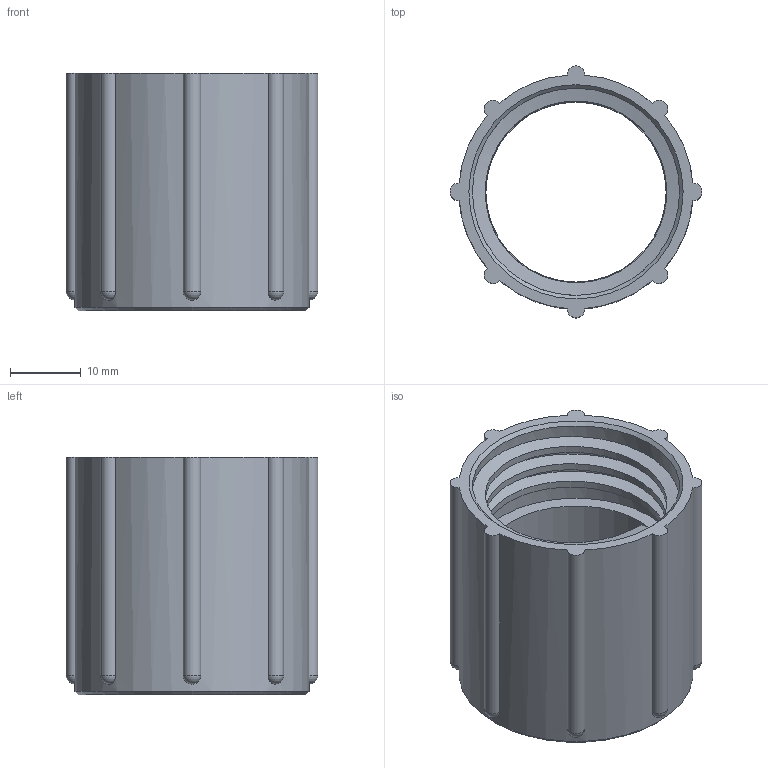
import cadquery as cq

height = 33.5
outer_diameter = 33.0
edge_chamfer = 0.5

passage_diameter = 25.4
socket_diameter = 29.2
socket_depth = 13.0

rib_count = 8
rib_diameter = 2.5
rib_round_center_z = 2.75

thread_pitch = 3.0
thread_turns = 3
thread_crest_diameter = 25.6
thread_crest_width = 1.04
thread_flank_rise = 0.42
thread_start_angle = -90.0
wall_overlap = 0.3

outer_radius = outer_diameter / 2
passage_radius = passage_diameter / 2
socket_radius = socket_diameter / 2
rib_radius = rib_diameter / 2
socket_floor_z = height - socket_depth


def make_sleeve():
    """Outer cylinder with its stepped bore and chamfered outer foot and socket mouth."""
    profile = [
        (passage_radius, 0),
        (outer_radius - edge_chamfer, 0),
        (outer_radius, edge_chamfer),
        (outer_radius, height),
        (socket_radius + edge_chamfer, height),
        (socket_radius, height - edge_chamfer),
        (socket_radius, socket_floor_z),
        (passage_radius, socket_floor_z),
    ]
    return cq.Workplane("XZ").polyline(profile).close().revolve(360, (0, 0, 0), (0, 1, 0))


def make_ribs():
    """Ribs spaced evenly round the outside, trimmed clear of the bore."""
    bar = (
        cq.Workplane("XY", origin=(outer_radius, 0, rib_round_center_z))
        .circle(rib_radius)
        .extrude(height - rib_round_center_z)
    )
    ball = cq.Workplane("XY", origin=(outer_radius, 0, rib_round_center_z)).sphere(rib_radius)
    bore_clearance = cq.Workplane("XY").circle(socket_radius + edge_chamfer).extrude(height)
    rib = bar.union(ball).cut(bore_clearance)
    ribs = cq.Workplane("XY")
    for index in range(rib_count):
        ribs = ribs.add(rib.rotate((0, 0, 0), (0, 0, 1), index * 360 / rib_count))
    return ribs.vals()


def make_thread():
    """Thread ridge, ending just below the mouth chamfer, with flanks run on into the wall."""
    crest_radius = thread_crest_diameter / 2
    root_radius = socket_radius + wall_overlap
    flank_slope = thread_flank_rise / (socket_radius - crest_radius)
    half_crest = thread_crest_width / 2
    half_root = half_crest + flank_slope * (root_radius - crest_radius)

    rise = thread_pitch * thread_turns
    ridge_top_z = height - edge_chamfer
    ridge_center_z = ridge_top_z - half_crest - thread_flank_rise
    start_z = ridge_center_z - rise

    helix = cq.Wire.makeHelix(thread_pitch, rise, crest_radius, center=cq.Vector(0, 0, start_z))
    profile = [
        (crest_radius, start_z - half_crest),
        (root_radius, start_z - half_root),
        (root_radius, start_z + half_root),
        (crest_radius, start_z + half_crest),
    ]
    ridge = cq.Workplane("XZ").polyline(profile).close().sweep(cq.Workplane(helix), isFrenet=True)
    return ridge.rotate((0, 0, 0), (0, 0, 1), thread_start_angle)


result = make_sleeve()
for rib_solid in make_ribs():
    result = result.union(cq.Workplane(rib_solid))
result = result.union(make_thread())